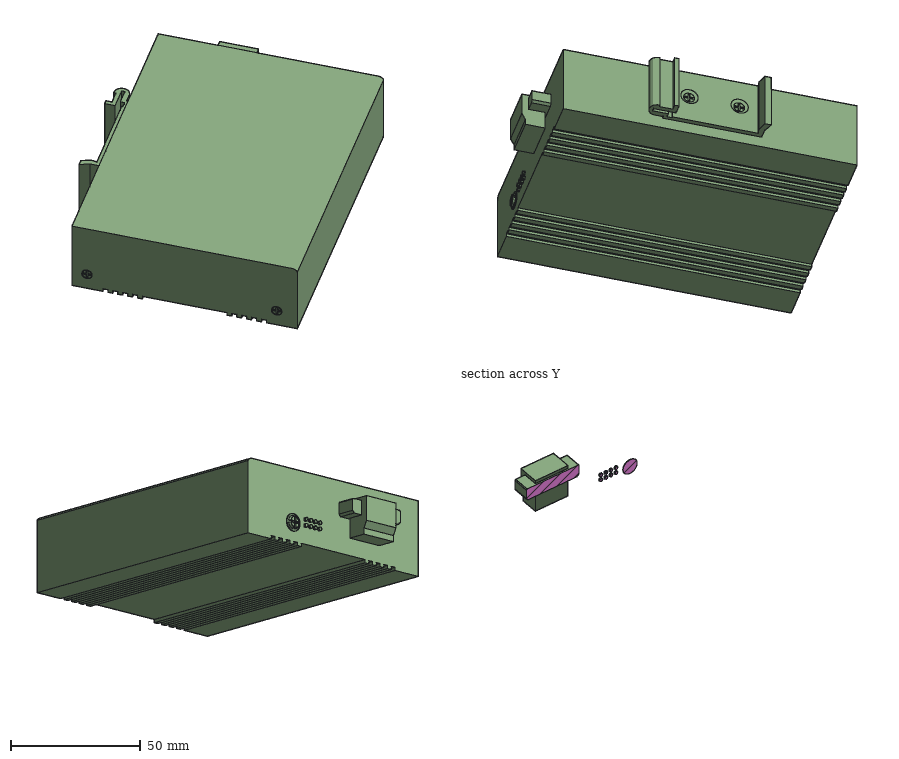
import cadquery as cq
import math

overall_depth = 128.6
body_width = 90.8
body_depth = 118.3
body_height = 30.3
edge_round_width = 2.2
edge_round_radius = 2.5

groove_count = 4
groove_pitch = 4.0
groove_width = groove_pitch / 2
groove_depth = 1.3
groove_inset = 12.5
relief_inset = groove_inset + groove_count * groove_pitch

cross_span = 3.3
cross_width = 0.8
cross_depth = 0.5
front_screw_radius = 2.0
front_screw_recess = 0.3
front_screw_xs = (6.0, 82.4)
front_screw_z = 7.1

clip_reach = 8.6
clip_bottom = 4.9
clip_height = 24.3
plate_thickness = 1.8
plate_lower_y = 38.5
hook_center_x = -4.0
hook_center_y = 81.8
hook_radius = 3.1
clip_screw_ys = (68.0, 47.8)
clip_screw_z = 17.0
countersink_outer_radius = 3.5
countersink_inner_radius = 2.2
countersink_depth = 0.6

socket_left = 16.8
socket_width = 25.5
socket_bottom = 16.0
socket_top = 21.7
socket_length = 7.6
socket_top_chamfer = 0.4
socket_bottom_chamfer = 0.9
plug_width = 15.7
plug_bottom = 8.0
plug_top = 23.1
plug_gap = 0.9
plug_step = 1.4
plug_slope_bottom = 10.4
plug_slope_top = 13.2

lamp_radius = 0.8
lamp_sides = 8
lamp_length = 0.9
lamp_pitch = 2.5
lamp_columns = 4
lamp_rows = 2
lamp_first_x = 53.0
lamp_first_z = 8.7
ground_x = 66.9
ground_z = 8.7
washer_radius = 3.5
washer_thickness = 0.4
dome_base_radius = 2.7
dome_top_radius = 2.2
dome_rise = 0.9


def box(x, y, z, width, depth, height):
    """Box placed by its minimum corner."""
    return cq.Workplane("XY").box(width, depth, height, centered=False).translate((x, y, z))


def face_plane(origin, normal):
    """Workplane whose local x and y lie along the wall and up the part."""
    x_direction = cq.Vector(0, 0, 1).cross(cq.Vector(*normal))
    return cq.Workplane(cq.Plane(origin=origin, xDir=x_direction.toTuple(), normal=normal))


def cross_recess(origin, normal, span=cross_span, depth=cross_depth):
    """Cutter for a cross recess sunk below a screw face."""
    plane = face_plane(origin, normal)
    upright = plane.rect(cross_width, span).extrude(-depth)
    level = plane.rect(span, cross_width).extrude(-depth)
    return upright.union(level)


def housing():
    sweep = math.asin(edge_round_width / edge_round_radius)
    arc_start_x = body_width - edge_round_width
    arc_center_z = body_height - edge_round_radius
    arc_middle = (
        arc_start_x + edge_round_radius * math.sin(sweep / 2),
        arc_center_z + edge_round_radius * math.cos(sweep / 2),
    )
    arc_end = (body_width, arc_center_z + edge_round_radius * math.cos(sweep))
    body = (
        cq.Workplane("XZ")
        .moveTo(0, 0)
        .lineTo(0, body_height)
        .lineTo(arc_start_x, body_height)
        .threePointArc(arc_middle, arc_end)
        .lineTo(body_width, 0)
        .close()
        .extrude(-body_depth)
    )
    relief_width = body_width - 2 * relief_inset
    body = body.cut(box(relief_inset, 0, 0, relief_width, body_depth, groove_depth))
    for index in range(groove_count):
        left = groove_inset + index * groove_pitch
        right = body_width - left - groove_width
        for start in (left, right):
            body = body.cut(box(start, 0, 0, groove_width, body_depth, groove_depth))
    return body


def cut_front_screws(body):
    for x in front_screw_xs:
        seat = face_plane((x, 0, front_screw_z), (0, -1, 0)).circle(front_screw_radius)
        body = body.cut(seat.extrude(-front_screw_recess))
        body = body.cut(cross_recess((x, front_screw_recess, front_screw_z), (0, -1, 0)))
    return body


def rail_clip():
    """Bent spring clip, drawn in plan and extruded upward."""
    slot_left = -4.4
    slot_right = -3.1
    slot_top = 83.2
    slot_bottom = 76.9
    hook_left = hook_center_x - hook_radius
    hook_right = hook_center_x + hook_radius
    leg_left = -6.2
    hook_tip_y = 81.4
    foot_top = 76.0
    foot_bottom = 74.2
    notch_x = -1.3
    notch_bottom = 74.8
    shoulder_y = 78.3
    lip_root_y = 40.4
    lip_bend_x = -4.0
    lip_bend_y = 40.8
    lip_end_x = -8.0
    lip_end_top = 39.5
    lip_end_bottom = 36.9
    profile = (
        cq.Workplane("XY", origin=(0, 0, clip_bottom))
        .moveTo(0, plate_lower_y)
        .lineTo(0, shoulder_y)
        .lineTo(hook_right, shoulder_y)
        .lineTo(hook_right, hook_center_y)
        .threePointArc((hook_center_x, hook_center_y + hook_radius), (hook_left, hook_center_y))
        .lineTo(hook_left, hook_tip_y)
        .lineTo(leg_left, hook_tip_y)
        .lineTo(leg_left, foot_top)
        .lineTo(-clip_reach, foot_top)
        .lineTo(-clip_reach, foot_bottom)
        .lineTo(slot_left, foot_bottom)
        .lineTo(slot_left, slot_top)
        .lineTo(slot_right, slot_top)
        .lineTo(slot_right, slot_bottom)
        .lineTo(notch_x, slot_bottom)
        .lineTo(notch_x, notch_bottom)
        .lineTo(-plate_thickness, notch_bottom)
        .lineTo(-plate_thickness, lip_root_y)
        .lineTo(lip_bend_x, lip_bend_y)
        .lineTo(lip_end_x, lip_end_top)
        .lineTo(lip_end_x, lip_end_bottom)
        .lineTo(lip_bend_x, plate_lower_y)
        .close()
    )
    clip = profile.extrude(clip_height)
    for y in clip_screw_ys:
        countersink = (
            face_plane((-plate_thickness, y, clip_screw_z), (-1, 0, 0))
            .circle(countersink_outer_radius)
            .workplane(offset=-countersink_depth)
            .circle(countersink_inner_radius)
            .loft()
        )
        clip = clip.cut(countersink)
        screw_face_x = countersink_depth - plate_thickness
        clip = clip.cut(cross_recess((screw_face_x, y, clip_screw_z), (-1, 0, 0)))
    return clip


def connector():
    socket = box(socket_left, body_depth, socket_bottom,
                 socket_width, socket_length, socket_top - socket_bottom)
    socket = socket.edges("|Y and >Z").chamfer(socket_top_chamfer)
    socket = socket.edges("|Y and <Z").chamfer(socket_bottom_chamfer)
    inner_y = body_depth + plug_gap
    lower_y = overall_depth - plug_step
    plug_left = socket_left + (socket_width - plug_width) / 2
    plug = (
        cq.Workplane("YZ", origin=(plug_left, 0, 0))
        .moveTo(inner_y, plug_bottom)
        .lineTo(lower_y, plug_bottom)
        .lineTo(lower_y, plug_slope_bottom)
        .lineTo(overall_depth, plug_slope_top)
        .lineTo(overall_depth, plug_top)
        .lineTo(inner_y, plug_top)
        .close()
        .extrude(plug_width)
    )
    return socket.union(plug)


def lamps():
    bank = cq.Workplane("XY")
    for column in range(lamp_columns):
        for row in range(lamp_rows):
            x = lamp_first_x + column * lamp_pitch
            z = lamp_first_z + row * lamp_pitch
            plane = face_plane((x, body_depth, z), (0, 1, 0))
            lamp = plane.polygon(lamp_sides, 2 * lamp_radius).extrude(lamp_length)
            bank = bank.add(lamp)
    return bank.combine()


def ground_screw():
    plane = face_plane((ground_x, body_depth, ground_z), (0, 1, 0))
    washer = plane.circle(washer_radius).extrude(washer_thickness)
    dome = (
        plane.workplane(offset=washer_thickness)
        .circle(dome_base_radius)
        .workplane(offset=dome_rise)
        .circle(dome_top_radius)
        .loft()
    )
    head_y = body_depth + washer_thickness + dome_rise
    recess_origin = (ground_x, head_y, ground_z)
    return washer.union(dome).cut(cross_recess(recess_origin, (0, 1, 0), 2 * dome_base_radius, dome_rise))


result = cut_front_screws(housing())
for attachment in (rail_clip(), connector(), lamps(), ground_screw()):
    result = result.union(attachment)